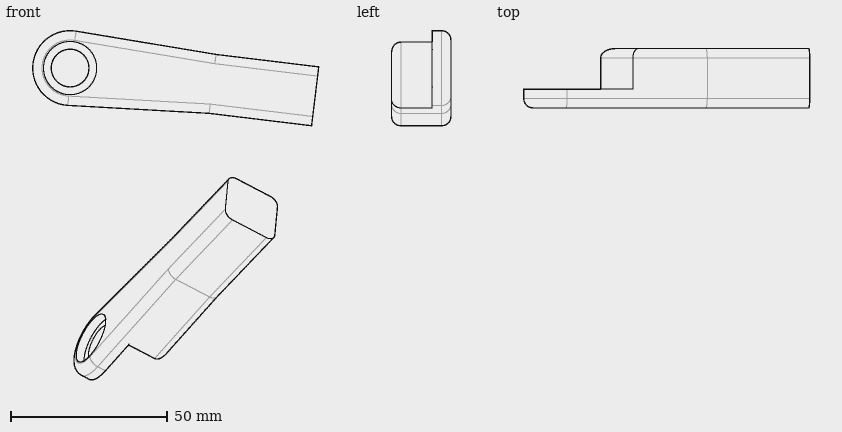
import cadquery as cq
import math

eye_radius = 12.0
bore_diameter = 12.0
counterbore_diameter = 17.0
counterbore_depth = 3.0

body_width = 19.0
plate_thickness = 6.0
edge_radius = 3.0

tail_height = body_width
tail_length = 33.0
total_length = 91.5
total_height = 30.5
tail_end_top_x = total_length - eye_radius
tail_end_bottom_z = eye_radius - total_height
tail_drop = math.radians(6.9)

shoulder_top_x = 23.0
shoulder_bottom_x = 12.6

along = (math.cos(tail_drop), -math.sin(tail_drop))
across = (math.sin(tail_drop), math.cos(tail_drop))
end_top = (tail_end_top_x, tail_end_bottom_z + tail_height * across[1])
end_bottom = (tail_end_top_x - tail_height * across[0], tail_end_bottom_z)
elbow_top = (end_top[0] - tail_length * along[0], end_top[1] - tail_length * along[1])
elbow_bottom = (end_bottom[0] - tail_length * along[0], end_bottom[1] - tail_length * along[1])


def tangent_point(point, side):
    """Where the line from point touches the eye; side is +1 for the top, -1 for the bottom."""
    distance = math.hypot(*point)
    angle = math.atan2(point[1], point[0]) + side * math.acos(eye_radius / distance)
    return (eye_radius * math.cos(angle), eye_radius * math.sin(angle))


def point_at_x(start, end, x):
    """Point on the line through start and end at the given X."""
    fraction = (x - start[0]) / (end[0] - start[0])
    return (x, start[1] + fraction * (end[1] - start[1]))


def extrude_back(outline, thickness):
    """Extrude a closed XZ outline from Y = 0 towards +Y."""
    return outline.extrude(-thickness)


def round_rim(body, face_selector):
    """Round the rim of one flat side, leaving the tail's end edge sharp."""
    end_middle_x = (end_top[0] + end_bottom[0]) / 2
    rim = [
        edge for edge in body.faces(face_selector).edges().vals()
        if abs(edge.Center().x - end_middle_x) > edge_radius
    ]
    return body.newObject(rim).fillet(edge_radius)


eye_top = tangent_point(elbow_top, 1)
eye_bottom = tangent_point(elbow_bottom, -1)

plate = extrude_back(
    cq.Workplane("XZ")
    .moveTo(*eye_top)
    .lineTo(*elbow_top)
    .lineTo(*end_top)
    .lineTo(*end_bottom)
    .lineTo(*elbow_bottom)
    .lineTo(*eye_bottom)
    .threePointArc((-eye_radius, 0), eye_top)
    .close(),
    plate_thickness,
)

shoulder_top = point_at_x(eye_top, elbow_top, shoulder_top_x)
shoulder_bottom = point_at_x(eye_bottom, elbow_bottom, shoulder_bottom_x)
block = extrude_back(
    cq.Workplane("XZ").polyline(
        [shoulder_top, elbow_top, end_top, end_bottom, elbow_bottom, shoulder_bottom]
    ).close(),
    body_width,
)

body = plate.union(block)
for side in ("<Y", ">Y"):
    body = round_rim(body, side)

bore = extrude_back(cq.Workplane("XZ").circle(bore_diameter / 2), plate_thickness)
counterbore = extrude_back(cq.Workplane("XZ").circle(counterbore_diameter / 2), counterbore_depth)

result = body.cut(bore).cut(counterbore)